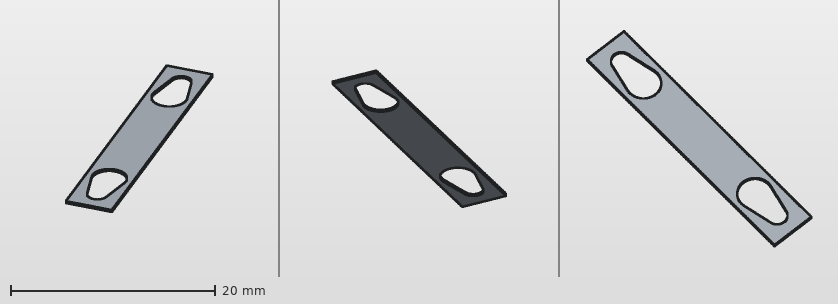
import cadquery as cq
import math

length = 27.8
width = 4.8
thickness = 0.25

large_radius = 1.75
small_radius = 1.03
large_offset = 8.28
small_offset = 11.55

tangent_angle = math.asin((large_radius - small_radius) / (small_offset - large_offset))
tangent_x = math.cos(tangent_angle)
tangent_y = math.sin(tangent_angle)


def keyhole_cutter(side):
    """Teardrop prism with its narrow end outward; side is +1 or -1 along Y."""
    large_x = large_radius * tangent_x
    large_y = side * (large_offset + large_radius * tangent_y)
    small_x = small_radius * tangent_x
    small_y = side * (small_offset + small_radius * tangent_y)
    return (
        cq.Workplane("XY")
        .moveTo(large_x, large_y)
        .lineTo(small_x, small_y)
        .threePointArc((0, side * (small_offset + small_radius)), (-small_x, small_y))
        .lineTo(-large_x, large_y)
        .threePointArc((0, side * (large_offset - large_radius)), (large_x, large_y))
        .close()
        .extrude(thickness, both=True)
    )


result = cq.Workplane("XY").box(width, length, thickness)
for side in (1, -1):
    result = result.cut(keyhole_cutter(side))